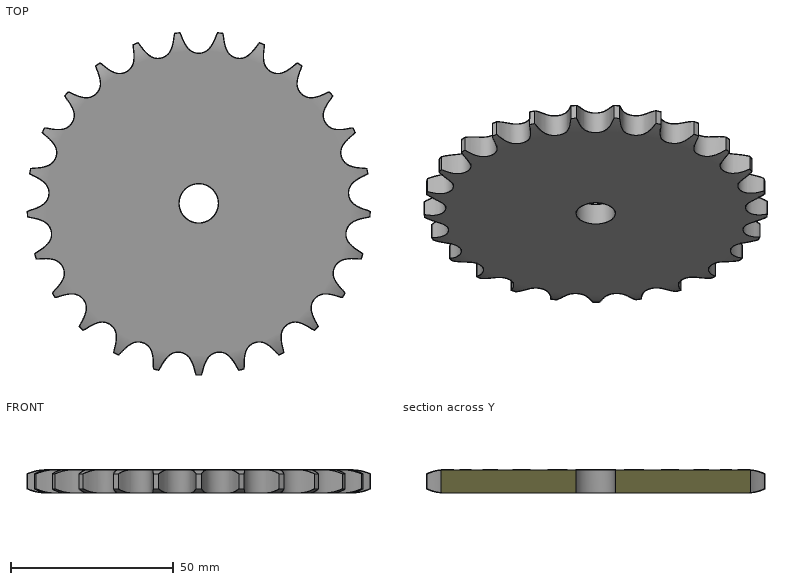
import cadquery as cq
import math


tooth_count = 25
chain_pitch = 12.7
roller_diameter = 8.6
outer_diameter = 105.8
thickness = 7.2
bore_diameter = 12.0

bevel_start_radius = 47.0
bevel_depth = 1.3

seat_clearance = 0.038
seat_radius = 0.5025 * roller_diameter + seat_clearance
center_offset = 0.8 * roller_diameter
working_radius = seat_radius + center_offset
seat_end_angle = math.radians(35 + 60 / tooth_count)
working_sweep = math.radians(18 - 56 / tooth_count)
flank_angle = seat_end_angle - working_sweep
topping_offset = 1.4 * roller_diameter
topping_angle = math.radians(17 - 64 / tooth_count)
flank_length = topping_offset * math.sin(topping_angle) - center_offset * math.sin(working_sweep)
topping_radius = (
    center_offset * math.cos(working_sweep) + topping_offset * math.cos(topping_angle) - working_radius
)

half_step = math.pi / tooth_count
outer_radius = outer_diameter / 2
pitch_radius = chain_pitch / 2 / math.sin(half_step)


def polar(center, radius, angle):
    """Point at a distance and direction from a center."""
    return (center[0] + radius * math.cos(angle), center[1] + radius * math.sin(angle))


def rotate(point, angle):
    """Turn a point about the sprocket axis."""
    x, y = point
    return (x * math.cos(angle) - y * math.sin(angle), x * math.sin(angle) + y * math.cos(angle))


def topping_end(center):
    """Point and direction where the topping arc, around the given center, meets the outer circle."""
    distance = math.hypot(*center)
    to_axis = math.atan2(-center[1], -center[0])
    corner = math.acos(
        (distance**2 + topping_radius**2 - outer_radius**2) / (2 * distance * topping_radius)
    )
    angle = to_axis - corner
    return polar(center, topping_radius, angle), angle % (2 * math.pi)


def gap_side_points():
    """Points down the +X side of a tooth gap centered on +Y, from the outer circle to the seat end."""
    seat_center = (0, pitch_radius)
    seat_end = polar(seat_center, seat_radius, -seat_end_angle)

    working_center = polar(seat_center, center_offset, math.pi - seat_end_angle)
    working_middle = polar(working_center, working_radius, -(seat_end_angle + flank_angle) / 2)
    working_end = polar(working_center, working_radius, -flank_angle)

    flank_end = polar(working_end, flank_length, math.pi / 2 - flank_angle)

    topping_center = polar(flank_end, topping_radius, -flank_angle)
    tip_corner, tip_angle = topping_end(topping_center)
    topping_middle = polar(topping_center, topping_radius, (math.pi - flank_angle + tip_angle) / 2)
    return [tip_corner, topping_middle, flank_end, working_end, working_middle, seat_end]


def make_toothed_plate():
    """Flat plate with the full tooth outline, built counterclockwise gap by gap."""
    entry_side = gap_side_points()
    exit_side = [(-x, y) for x, y in reversed(entry_side)]
    root = (0, pitch_radius - seat_radius)
    tip_middle = rotate((0, outer_radius), half_step)

    outline = cq.Workplane("XY").workplane(offset=-thickness / 2).moveTo(*entry_side[0])
    for index in range(tooth_count):
        gap_angle = 2 * half_step * index
        entry = [rotate(point, gap_angle) for point in entry_side]
        leave = [rotate(point, gap_angle) for point in exit_side]
        next_corner = rotate(entry_side[0], 2 * half_step * ((index + 1) % tooth_count))
        outline = (
            outline.threePointArc(entry[1], entry[2])
            .lineTo(*entry[3])
            .threePointArc(entry[4], entry[5])
            .threePointArc(rotate(root, gap_angle), leave[0])
            .threePointArc(leave[1], leave[2])
            .lineTo(*leave[3])
            .threePointArc(leave[4], leave[5])
            .threePointArc(rotate(tip_middle, gap_angle), next_corner)
        )
    return outline.close().extrude(thickness)


def make_bevel_envelope():
    """Disc whose rim is rounded toward the outer diameter; its arcs are tangent to the flat faces."""
    half_thickness = thickness / 2
    rim_height = half_thickness - bevel_depth
    bevel_width = outer_radius - bevel_start_radius
    bevel_radius = (bevel_width**2 + bevel_depth**2) / (2 * bevel_depth)
    half_sweep = math.asin(bevel_width / bevel_radius) / 2
    middle_x, middle_z = polar(
        (bevel_start_radius, half_thickness - bevel_radius), bevel_radius, math.pi / 2 - half_sweep
    )
    return (
        cq.Workplane("XZ")
        .moveTo(0, -half_thickness)
        .lineTo(bevel_start_radius, -half_thickness)
        .threePointArc((middle_x, -middle_z), (outer_radius, -rim_height))
        .lineTo(outer_radius, rim_height)
        .threePointArc((middle_x, middle_z), (bevel_start_radius, half_thickness))
        .lineTo(0, half_thickness)
        .close()
        .revolve(360, (0, 0, 0), (0, 1, 0))
    )


def make_bore():
    """Cylinder through the full thickness of the plate."""
    return cq.Workplane("XY").workplane(offset=-thickness / 2).circle(bore_diameter / 2).extrude(thickness)


result = make_toothed_plate().intersect(make_bevel_envelope()).cut(make_bore())